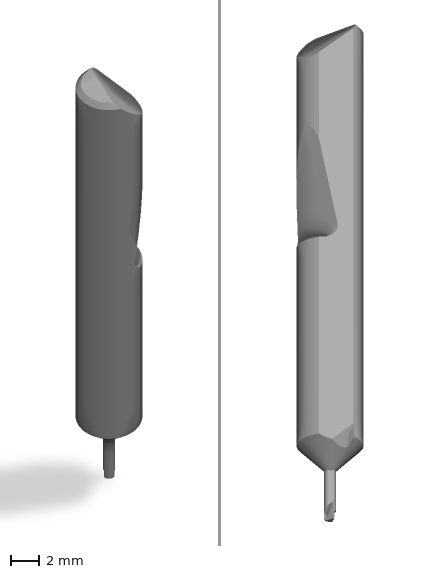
import cadquery as cq
import math

length = 38.1
shank_radius = 2.38
neck_radius = 0.42
neck_top = 3.85
shoulder = neck_top + shank_radius - neck_radius
end_chamfer = 0.4
margin = 0.75
outside = shank_radius + margin

bevel_front_y = -0.55
flat_start = (-2.35, 0.15)
flat_end = (-1.0, 2.15)
clamp_top = 29.85
clamp_bottom = 21.07
clamp_root_y = 0.88
clamp_fillet = 1.03

facet_high = (-2.38, 0.08, 6.82)
facet_side = (-1.5, 1.4, 5.45)
facet_low = (-1.75, 0.08, 5.2)

edge_y = 0.057
neck_flat_end_x = -0.1
rake_top = 1.45
rake_bottom = 0.57
rake_floor_x = 0.25
relief_top = 0.72
relief_corner = (-0.15, -0.1)
relief_end_x = 0.08
tooth_height = 0.1
tooth_width = 0.095


def long_prism(points, plane):
    """Extrude an outline symmetrically through the whole shank."""
    return cq.Workplane(plane).polyline(points).close().extrude(outside, both=True)


def turned_blank():
    profile = [
        (0, 0),
        (neck_radius, 0),
        (neck_radius, neck_top),
        (shank_radius, shoulder),
        (shank_radius, length - end_chamfer),
        (shank_radius - end_chamfer, length),
        (0, length),
    ]
    return cq.Workplane("XZ").polyline(profile).close().revolve(360, (0, 0), (0, 1))


def end_bevel():
    """45 degree cut at the back of the shank end."""
    reach = outside - bevel_front_y
    return long_prism([(bevel_front_y, length), (outside, length), (outside, length - reach)], "YZ")


def side_flat():
    """Flat along the whole shank, above the neck."""
    dx = flat_end[0] - flat_start[0]
    dy = flat_end[1] - flat_start[1]
    start = (flat_start[0] - dx, flat_start[1] - dy)
    end = (flat_end[0] + dx, flat_end[1] + dy)
    points = [start, end, (start[0], end[1])]
    return cq.Workplane("XY").workplane(offset=neck_top).polyline(points).close().extrude(length - neck_top)


def clamp_notch():
    """Sloped clamping notch with a rounded root."""
    slope = (clamp_top - clamp_bottom) / (shank_radius - clamp_root_y)
    outer_top = clamp_bottom + slope * (outside - clamp_root_y)
    points = [(clamp_root_y, clamp_bottom), (outside, clamp_bottom), (outside, outer_top)]
    return long_prism(points, "YZ").edges("|X and <Y").fillet(clamp_fillet)


def flat_facet():
    """Half-space outside the ground facet, limited to the rear of the bar."""
    high = cq.Vector(*facet_high)
    across = cq.Vector(*facet_side) - high
    down = cq.Vector(*facet_low) - high
    plane = cq.Plane(origin=facet_high, xDir=down, normal=across.cross(down))
    outer = cq.Workplane(plane).rect(4 * outside, 4 * outside).extrude(outside)
    rear = cq.Workplane("XY").box(2 * outside, outside, shoulder, centered=(True, False, False))
    return outer.intersect(rear.translate((0, facet_high[1], neck_top)))


def neck_flat():
    """Small flat along the neck, rising from the cutting edge."""
    start = (-math.sqrt(neck_radius**2 - edge_y**2), edge_y)
    end = (neck_flat_end_x, math.sqrt(neck_radius**2 - neck_flat_end_x**2))
    points = [start, end, (end[0], outside), (-outside, outside), (-outside, start[1])]
    return cq.Workplane("XY").polyline(points).close().extrude(neck_top)


def rake_notch():
    """Ramped pocket behind the cutting edge."""
    points = [
        (-neck_radius, rake_top),
        (rake_floor_x, rake_bottom),
        (rake_floor_x, 0),
        (-outside, 0),
        (-outside, rake_top),
    ]
    return cq.Workplane("XZ", origin=(0, edge_y, 0)).polyline(points).close().extrude(-outside)


def front_relief():
    """Two-faced clearance below the cutting edge."""
    relief_end_y = -math.sqrt(neck_radius**2 - relief_end_x**2)
    points = [
        (-neck_radius, 0),
        relief_corner,
        (relief_end_x, relief_end_y),
        (relief_end_x, -outside),
        (-outside, -outside),
        (-outside, 0),
    ]
    return cq.Workplane("XY").polyline(points).close().extrude(relief_top)


def tip_end_relief():
    """Shorten the end face, leaving only the tooth at full length."""
    size = outside - tooth_width
    left = -neck_radius + tooth_width
    end_slab = cq.Workplane("XY").box(size, 2 * size, tooth_height, centered=(False, True, False))
    return end_slab.translate((left, 0, 0))


result = turned_blank()
for cutter in (
    end_bevel(),
    side_flat(),
    clamp_notch(),
    flat_facet(),
    neck_flat(),
    rake_notch(),
    front_relief(),
    tip_end_relief(),
):
    result = result.cut(cutter)